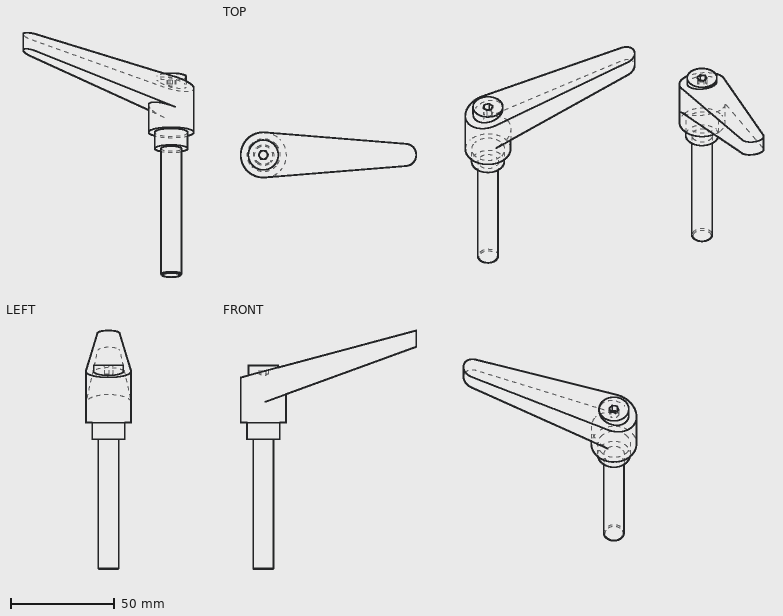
import cadquery as cq
import math

hub_radius = 11.0
tip_radius = 5.4
tip_reach = 74.0
tip_top = 115.7
tip_thickness = 8.0
top_angle = 15.0
underside_angle = 20.0
stud_diameter = 10.0
stud_chamfer = 0.6
collar_diameter = 16.0
collar_bottom = 62.9
hub_bottom = 71.0
head_diameter = 14.5
head_top = 98.8
socket_across_flats = 4.0
socket_depth = 4.0
socket_point_depth = 1.4

tip_center = tip_reach - tip_radius
side_sine = (hub_radius - tip_radius) / tip_center
side_cosine = math.sqrt(1 - side_sine**2)


def top_height(x):
    return tip_top - (tip_reach - x) * math.tan(math.radians(top_angle))


def underside_height(x):
    return tip_top - tip_thickness - (tip_reach - x) * math.tan(math.radians(underside_angle))


def cylinder(diameter, bottom, top):
    return cq.Workplane("XY").workplane(offset=bottom).circle(diameter / 2).extrude(top - bottom)


def side_slab(points):
    """Extrude an XZ outline across the full width of the hub."""
    return cq.Workplane("XZ").polyline(points).close().extrude(hub_radius, both=True)


def make_lever():
    hub_x = hub_radius * side_sine
    hub_y = hub_radius * side_cosine
    tip_x = tip_center + tip_radius * side_sine
    tip_y = tip_radius * side_cosine
    plan = (
        cq.Workplane("XY")
        .workplane(offset=hub_bottom)
        .moveTo(hub_x, hub_y)
        .lineTo(tip_x, tip_y)
        .threePointArc((tip_reach, 0), (tip_x, -tip_y))
        .lineTo(hub_x, -hub_y)
        .threePointArc((-hub_radius, 0), (hub_x, hub_y))
        .close()
        .extrude(tip_top - hub_bottom)
    )
    arm_profile = side_slab([
        (hub_x, underside_height(hub_x)),
        (tip_reach, underside_height(tip_reach)),
        (tip_reach, tip_top),
        (hub_x, top_height(hub_x)),
    ])
    hub_profile = side_slab([
        (-hub_radius, hub_bottom),
        (hub_radius, hub_bottom),
        (hub_radius, top_height(hub_radius)),
        (-hub_radius, top_height(-hub_radius)),
    ])
    hub = cylinder(2 * hub_radius, hub_bottom, tip_top).intersect(hub_profile)
    return plan.intersect(arm_profile).union(hub)


def make_socket():
    """Hexagonal key socket with a conical bottom."""
    across_corners = socket_across_flats / math.cos(math.radians(30))
    socket_floor = head_top - socket_depth
    hexagon = (
        cq.Workplane("XY")
        .workplane(offset=socket_floor)
        .polygon(6, across_corners)
        .extrude(socket_depth)
    )
    point = cq.Workplane(
        cq.Solid.makeCone(
            socket_across_flats / 2, 0, socket_point_depth,
            pnt=cq.Vector(0, 0, socket_floor), dir=cq.Vector(0, 0, -1),
        )
    )
    return hexagon.union(point)


stud = cylinder(stud_diameter, 0, collar_bottom).faces("<Z").chamfer(stud_chamfer)
collar = cylinder(collar_diameter, collar_bottom, hub_bottom)
screw_head = cylinder(head_diameter, hub_bottom, head_top)

result = make_lever().union(collar).union(stud).union(screw_head).cut(make_socket())